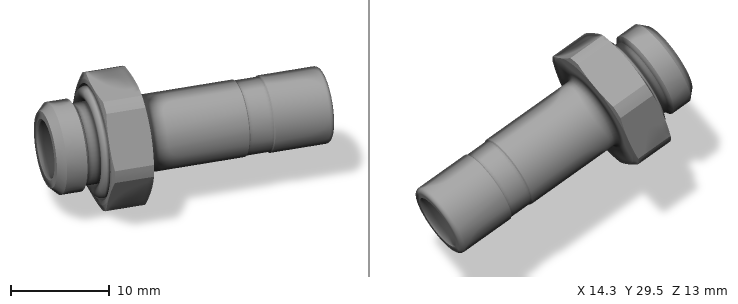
import cadquery as cq
import math

length = 29.5
bore_radius = 2.98
bore_chamfer = 0.18

thread_radius = 4.78
tip_radius = 3.98
tip_chamfer_length = 0.83
thread_end = 2.98
neck_start = 3.33
neck_radius = 4.25

across_flats = 13.0
corner_radius = 7.15
hex_front = 5.02
hex_back = 9.5
hex_chamfer_angle = 15.0

tube_radius = 3.98
root_fillet = 0.5
tube_end_round = 0.47
clip_groove_start = 20.4
clip_groove_end = 23.15
clip_groove_depth = 0.12

ring_section_radius = 0.77
ring_front = 4.4
ring_center_radius = neck_radius + ring_section_radius
ring_center_y = ring_front + ring_section_radius
recess_radius = 6.05
recess_floor = ring_center_y + ring_section_radius


def revolve_about_y(profile):
    """Full turn of an XY profile about the Y axis."""
    return profile.close().revolve(360, (0, 0, 0), (0, 1, 0))


def disc(radius, start, end):
    """Solid cylinder on the Y axis from Y = start to Y = end."""
    return cq.Workplane("XZ", origin=(0, start, 0)).circle(radius).extrude(start - end)


def make_thread_and_neck():
    profile = (
        cq.Workplane("XY")
        .lineTo(tip_radius, 0)
        .lineTo(thread_radius, tip_chamfer_length)
        .lineTo(thread_radius, thread_end)
        .lineTo(neck_radius, neck_start)
        .lineTo(neck_radius, recess_floor)
        .lineTo(0, recess_floor)
    )
    return revolve_about_y(profile)


def make_hexagon():
    """Hexagon with rounded corners, both faces chamfered, and the ring recess in its front face."""
    flat_radius = across_flats / 2
    across_corners = across_flats / math.cos(math.radians(30))
    prism = (
        cq.Workplane("XZ", origin=(0, hex_front, 0))
        .polygon(6, across_corners)
        .extrude(hex_front - hex_back)
    )
    chamfer_depth = (corner_radius - flat_radius) * math.tan(math.radians(hex_chamfer_angle))
    envelope_profile = (
        cq.Workplane("XY")
        .moveTo(0, hex_front)
        .lineTo(flat_radius, hex_front)
        .lineTo(corner_radius, hex_front + chamfer_depth)
        .lineTo(corner_radius, hex_back - chamfer_depth)
        .lineTo(flat_radius, hex_back)
        .lineTo(0, hex_back)
    )
    hexagon = prism.intersect(revolve_about_y(envelope_profile))
    return hexagon.cut(disc(recess_radius, hex_front, recess_floor))


def make_tube():
    """Tube with a concave root fillet, a shallow clip groove and a rounded end."""
    groove_radius = tube_radius - clip_groove_depth
    fillet_end = hex_back + root_fillet
    fillet_center_radius = tube_radius + root_fillet
    round_center_radius = tube_radius - tube_end_round
    round_offset = tube_end_round * math.sqrt(0.5)
    fillet_offset = root_fillet * math.sqrt(0.5)
    profile = (
        cq.Workplane("XY")
        .moveTo(0, recess_floor)
        .lineTo(tube_radius, recess_floor)
        .lineTo(tube_radius, hex_back)
        .lineTo(fillet_center_radius, hex_back)
        .threePointArc(
            (fillet_center_radius - fillet_offset, fillet_end - fillet_offset),
            (tube_radius, fillet_end),
        )
        .lineTo(tube_radius, clip_groove_start)
        .lineTo(groove_radius, clip_groove_start + clip_groove_depth)
        .lineTo(groove_radius, clip_groove_end - clip_groove_depth)
        .lineTo(tube_radius, clip_groove_end)
        .lineTo(tube_radius, length - tube_end_round)
        .threePointArc(
            (round_center_radius + round_offset, length - tube_end_round + round_offset),
            (round_center_radius, length),
        )
        .lineTo(0, length)
    )
    return revolve_about_y(profile)


def make_bore():
    """Through bore with a chamfered mouth at the threaded end."""
    profile = (
        cq.Workplane("XY")
        .lineTo(bore_radius + bore_chamfer, 0)
        .lineTo(bore_radius, bore_chamfer)
        .lineTo(bore_radius, length)
        .lineTo(0, length)
    )
    return revolve_about_y(profile)


def make_fitting():
    outside = make_thread_and_neck().union(make_hexagon()).union(make_tube())
    return outside.cut(make_bore())


def make_sealing_ring():
    section = (
        cq.Workplane("XY")
        .pushPoints([(ring_center_radius, ring_center_y)])
        .circle(ring_section_radius)
    )
    return section.revolve(360, (0, 0, 0), (0, 1, 0))


fitting = make_fitting()
sealing_ring = make_sealing_ring()

result = cq.Compound.makeCompound([fitting.val(), sealing_ring.val()])